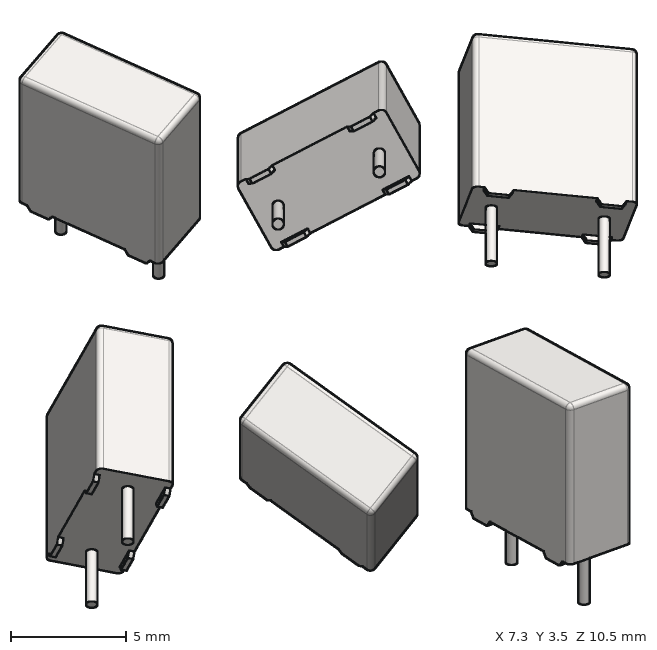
import cadquery as cq

total_height = 10.5
case_length = 7.3
case_width = 3.5
case_bottom = 2.77
edge_radius = 0.25

pin_diameter = 0.5
pin_spacing = 5.0

foot_height = 0.27
foot_top_length = 1.3
foot_tip_length = 0.93
foot_thickness = edge_radius

case_height = total_height - case_bottom
pin_positions = [-pin_spacing / 2, pin_spacing / 2]


def make_foot(center_x, front_y):
    """Trapezoid foot hanging from the case, extending toward +Y from front_y."""
    foot_tip = case_bottom - foot_height
    outline = [
        (center_x - foot_top_length / 2, case_bottom),
        (center_x + foot_top_length / 2, case_bottom),
        (center_x + foot_tip_length / 2, foot_tip),
        (center_x - foot_tip_length / 2, foot_tip),
    ]
    return (
        cq.Workplane("XZ", origin=(0, front_y, 0))
        .polyline(outline)
        .close()
        .extrude(-foot_thickness)
    )


def make_case():
    """Box rounded on its upright and top edges, with four feet below."""
    case = (
        cq.Workplane("XY", origin=(0, 0, case_bottom))
        .box(case_length, case_width, case_height, centered=(True, True, False))
        .edges("|Z or >Z")
        .fillet(edge_radius)
    )
    for center_x in pin_positions:
        for front_y in (-case_width / 2, case_width / 2 - foot_thickness):
            case = case.union(make_foot(center_x, front_y))
    return case


def make_pin(center_x):
    """Straight round pin that ends against the underside of the case."""
    return (
        cq.Workplane("XY")
        .center(center_x, 0)
        .circle(pin_diameter / 2)
        .extrude(case_bottom)
    )


case = make_case()
pins = [make_pin(center_x) for center_x in pin_positions]

result = cq.Compound.makeCompound([case.val(), *[pin.val() for pin in pins]])